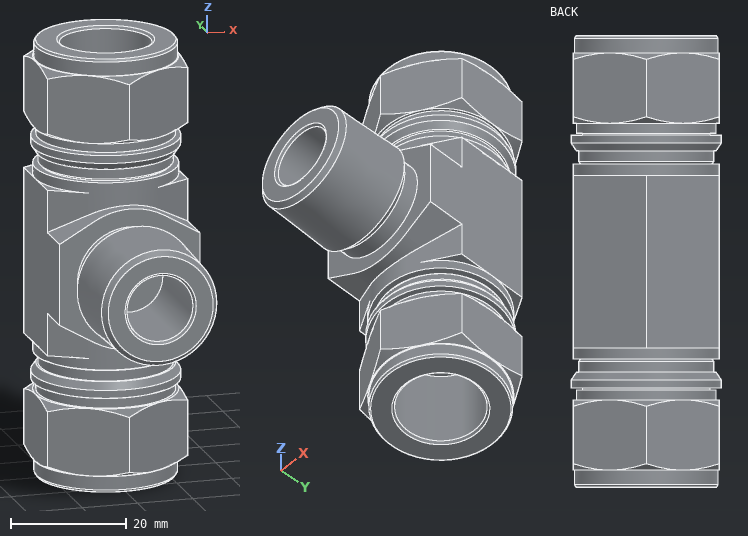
import cadquery as cq
import math

TOTAL_LENGTH = 78.45
END_Z = TOTAL_LENGTH / 2
HEX_FLATS = 25.4
HEX_CORNERS = HEX_FLATS / math.cos(math.radians(30))

BODY_HALF_HEIGHT = 15.0
BRANCH_FACE = 15.0
COLLAR_TOP = 16.95

UNDERCUT_DIAMETER = 22.75
NECK_DIAMETER = 23.5
NECK_BOTTOM = 17.3
NECK_TOP = 19.2
RING_CONE_DIAMETER = 24.3
RING_DIAMETER = 26.1
RING_EDGE = 20.55
RING_TOP = 22.0
GAP_DIAMETER = 22.2

SKIRT_DIAMETER = 24.3
SKIRT_BOTTOM = 22.3
NUT_BOTTOM = 24.0
NUT_TOP = 36.25
NUT_CHAMFER_ANGLE = 30.0
RIM_DIAMETER = 25.0
RIM_CHAMFER_WIDTH = 0.3
RIM_CHAMFER_HEIGHT = 0.5
TUBE_BORE_DIAMETER = 16.1
TUBE_BORE_DEPTH = END_Z - SKIRT_BOTTOM
BORE_CHAMFER = 0.5

OVERALL_DEPTH = 48.8
BRANCH_END = OVERALL_DEPTH - HEX_CORNERS / 2
RELIEF_DIAMETER = 19.0
RELIEF_END = 18.05
THREAD_START = 19.45
THREAD_START_DIAMETER = 21.65
THREAD_END_DIAMETER = 20.9
THREAD_CHAMFER_LENGTH = 0.95
BRANCH_BORE_DIAMETER = 11.9
BRANCH_BORE_DEPTH = BRANCH_END - BRANCH_FACE


def revolve_profile(sections):
    """Solid of revolution about Z through (diameter, z) sections, bottom to top."""
    outline = [(diameter / 2, z) for diameter, z in sections]
    closed = [(0, sections[0][1])] + outline + [(0, sections[-1][1])]
    return cq.Workplane("XZ").polyline(closed).close().revolve(360, (0, 0), (0, 1))


def hex_prism(bottom, top):
    """Hexagonal prism along Z with flats facing +X and -X."""
    prism = cq.Workplane("XY").workplane(offset=bottom).polygon(6, HEX_CORNERS).extrude(top - bottom)
    return prism.rotate((0, 0, 0), (0, 0, 1), 30)


def bore(diameter, end, depth):
    """Blind bore along Z, opening upward at the given end with a chamfered mouth."""
    return revolve_profile([
        (diameter, end - depth),
        (diameter, end - BORE_CHAMFER),
        (diameter + 2 * BORE_CHAMFER, end),
    ])


def to_branch(solid):
    """Turn a solid built along +Z so that it points along -Y."""
    return solid.rotate((0, 0, 0), (1, 0, 0), 90)


def make_body():
    """Hexagonal run, rounded at its front corner, joined to a hexagonal branch."""
    run = hex_prism(-BODY_HALF_HEIGHT, BODY_HALF_HEIGHT)
    tangent_x = HEX_FLATS / 2 * math.sin(math.radians(30))
    front_corner = cq.Workplane("XY").box(2 * tangent_x, HEX_CORNERS, 2 * BODY_HALF_HEIGHT)
    front_corner = front_corner.translate((0, -HEX_CORNERS / 2, 0))
    collar = cq.Workplane("XY").circle(HEX_FLATS / 2).extrude(COLLAR_TOP, both=True)
    run = run.cut(front_corner).union(collar)

    barrel = cq.Workplane("XY").circle(HEX_FLATS / 2).extrude(BRANCH_FACE)
    corner_zone = cq.Workplane("XY").box(2 * tangent_x, 2 * HEX_CORNERS, 2 * BRANCH_FACE)
    branch = hex_prism(0, BRANCH_FACE).cut(corner_zone).union(barrel)
    return run.union(to_branch(branch))


def make_nut():
    """Compression nut with chamfered hexagon, lower skirt and upper rim."""
    chamfer_height = (HEX_CORNERS - HEX_FLATS) / 2 * math.tan(math.radians(NUT_CHAMFER_ANGLE))
    envelope = revolve_profile([
        (HEX_FLATS, NUT_BOTTOM),
        (HEX_CORNERS, NUT_BOTTOM + chamfer_height),
        (HEX_CORNERS, NUT_TOP - chamfer_height),
        (HEX_FLATS, NUT_TOP),
    ])
    turned = revolve_profile([
        (SKIRT_DIAMETER, SKIRT_BOTTOM),
        (SKIRT_DIAMETER, NUT_BOTTOM),
        (RIM_DIAMETER, NUT_BOTTOM),
        (RIM_DIAMETER, END_Z - RIM_CHAMFER_HEIGHT),
        (RIM_DIAMETER - 2 * RIM_CHAMFER_WIDTH, END_Z),
    ])
    return hex_prism(NUT_BOTTOM, NUT_TOP).intersect(envelope).union(turned)


def make_run_end():
    """Upper compression end: neck, gripping ring, nut and tube bore."""
    neck = revolve_profile([
        (UNDERCUT_DIAMETER, COLLAR_TOP),
        (NECK_DIAMETER, NECK_BOTTOM),
        (NECK_DIAMETER, NECK_TOP),
        (RING_CONE_DIAMETER, NECK_TOP),
        (RING_DIAMETER, RING_EDGE),
        (RING_DIAMETER, RING_TOP),
        (GAP_DIAMETER, RING_TOP),
        (GAP_DIAMETER, SKIRT_BOTTOM),
    ])
    return neck.union(make_nut()).cut(bore(TUBE_BORE_DIAMETER, END_Z, TUBE_BORE_DEPTH))


def make_threaded_branch():
    """Thread relief, tapered thread envelope and blind bore, pointing along -Y."""
    stem = revolve_profile([
        (RELIEF_DIAMETER, BRANCH_FACE),
        (RELIEF_DIAMETER, RELIEF_END),
        (THREAD_START_DIAMETER, THREAD_START),
        (THREAD_END_DIAMETER, BRANCH_END - THREAD_CHAMFER_LENGTH),
        (RELIEF_DIAMETER, BRANCH_END),
    ])
    return to_branch(stem.cut(bore(BRANCH_BORE_DIAMETER, BRANCH_END, BRANCH_BORE_DEPTH)))


upper_end = make_run_end()
lower_end = upper_end.mirror("XY")
result = make_body().union(upper_end).union(lower_end).union(make_threaded_branch())